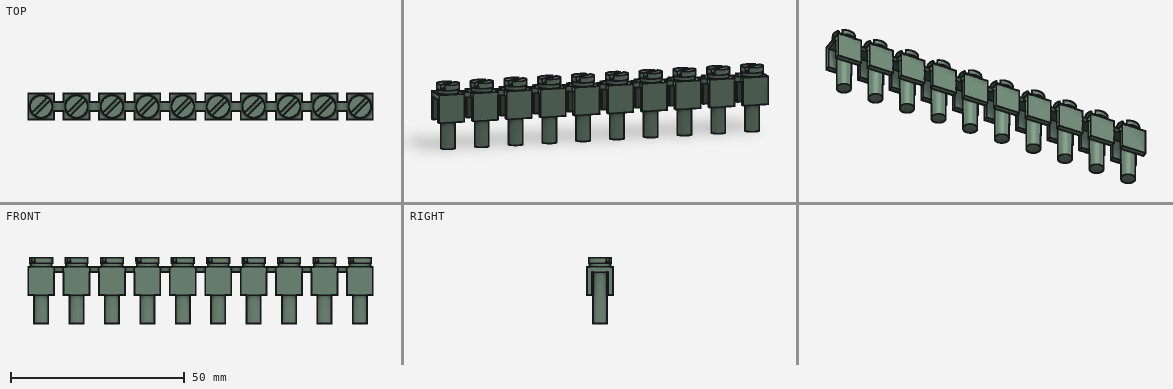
import cadquery as cq

clamp_count = 10
row_length = 99.3
clamp_width = 7.5
pitch = (row_length - clamp_width) / (clamp_count - 1)

clamp_height = 8.1
clamp_wall = 1.5
channel_width = clamp_width - 2 * clamp_wall
channel_height = clamp_height - clamp_wall

bar_width = 2.7
bar_thickness = clamp_wall

shank_diameter = 4.2
shank_drop = 8.1
collar_diameter = 6.2
collar_height = 1.1
head_diameter = 6.6
head_height = 1.6
slot_width = 1.2
slot_depth = 1.2
slot_angle = 45


def make_clamp():
    block = cq.Workplane("XY").box(clamp_width, clamp_width, clamp_height, centered=(True, True, False))
    channel = cq.Workplane("XY").box(clamp_width, channel_width, channel_height, centered=(True, True, False))
    return block.cut(channel)


def make_screw():
    shank = (
        cq.Workplane("XY", origin=(0, 0, -shank_drop))
        .circle(shank_diameter / 2)
        .extrude(shank_drop + clamp_height)
    )
    collar = cq.Workplane("XY", origin=(0, 0, clamp_height)).circle(collar_diameter / 2).extrude(collar_height)
    head = collar.faces(">Z").workplane().circle(head_diameter / 2).extrude(head_height)
    slot = (
        head.faces(">Z")
        .workplane()
        .transformed(rotate=(0, 0, slot_angle))
        .rect(2 * head_diameter, slot_width)
        .extrude(-slot_depth, combine=False)
    )
    return shank.union(head.cut(slot))


bar = cq.Workplane("XY", origin=(0, 0, channel_height)).box(
    row_length - clamp_width, bar_width, bar_thickness, centered=(True, True, False)
)

clamp_with_screw = make_clamp().union(make_screw())
result = bar
for index in range(clamp_count):
    clamp_x = (index - (clamp_count - 1) / 2) * pitch
    result = result.union(clamp_with_screw.translate((clamp_x, 0, 0)))